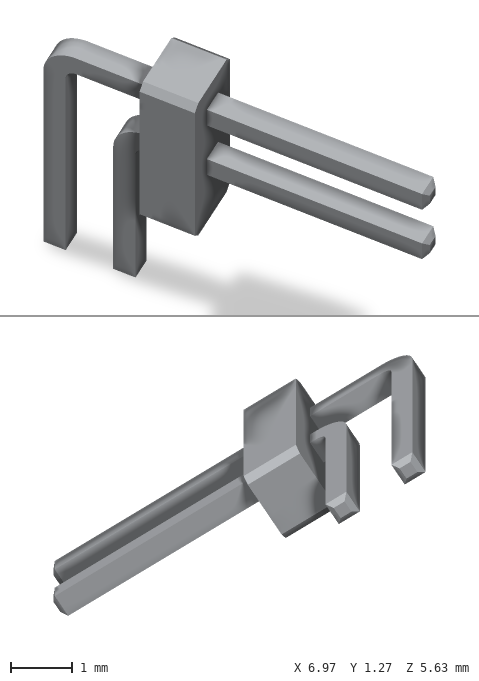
import cadquery as cq

total_length = 6.97
total_height = 5.63
pitch = 1.27

pin_width = 0.405
inner_radius = 0.2
outer_radius = inner_radius + pin_width
tip_length = 0.09
tip_inset = 0.1
upper_pin_drop = 0.51

housing_length = 1.005
housing_width = pitch
housing_height = 3.4
housing_start = 1.965
housing_chamfer = 0.125


def make_tip(plane):
    """Square frustum that narrows away from the given plane."""
    end_width = pin_width - 2 * tip_inset
    return (
        cq.Workplane(plane)
        .rect(pin_width, pin_width)
        .workplane(offset=tip_length)
        .rect(end_width, end_width)
        .loft(ruled=True)
    )


def make_pin(left, top):
    """Right-angle pin with its outer corner at (left, top)."""
    shoulder_x = total_length - tip_length
    shoulder_z = tip_length
    path = (
        cq.Workplane("XZ")
        .moveTo(left, shoulder_z)
        .lineTo(left, top - outer_radius)
        .radiusArc((left + outer_radius, top), outer_radius)
        .lineTo(shoulder_x, top)
        .lineTo(shoulder_x, top - pin_width)
        .lineTo(left + outer_radius, top - pin_width)
        .radiusArc((left + pin_width, top - outer_radius), -inner_radius)
        .lineTo(left + pin_width, shoulder_z)
        .close()
    )
    shaft = path.extrude(pin_width / 2, both=True)

    half = pin_width / 2
    side_tip = make_tip(cq.Plane((shoulder_x, 0, top - half), (0, 1, 0), (1, 0, 0)))
    bottom_tip = make_tip(cq.Plane((left + half, 0, shoulder_z), (1, 0, 0), (0, 0, -1)))
    return shaft.union(side_tip).union(bottom_tip)


def make_housing():
    """Block with the four edges that run along the pins (X) chamfered."""
    return (
        cq.Workplane("XY")
        .box(housing_length, housing_width, housing_height, centered=(False, True, False))
        .edges("|X")
        .chamfer(housing_chamfer)
        .translate((housing_start, 0, total_height - housing_height))
    )


result = make_housing()
for row in range(2):
    offset = row * pitch
    result = result.union(make_pin(offset, total_height - upper_pin_drop - offset))